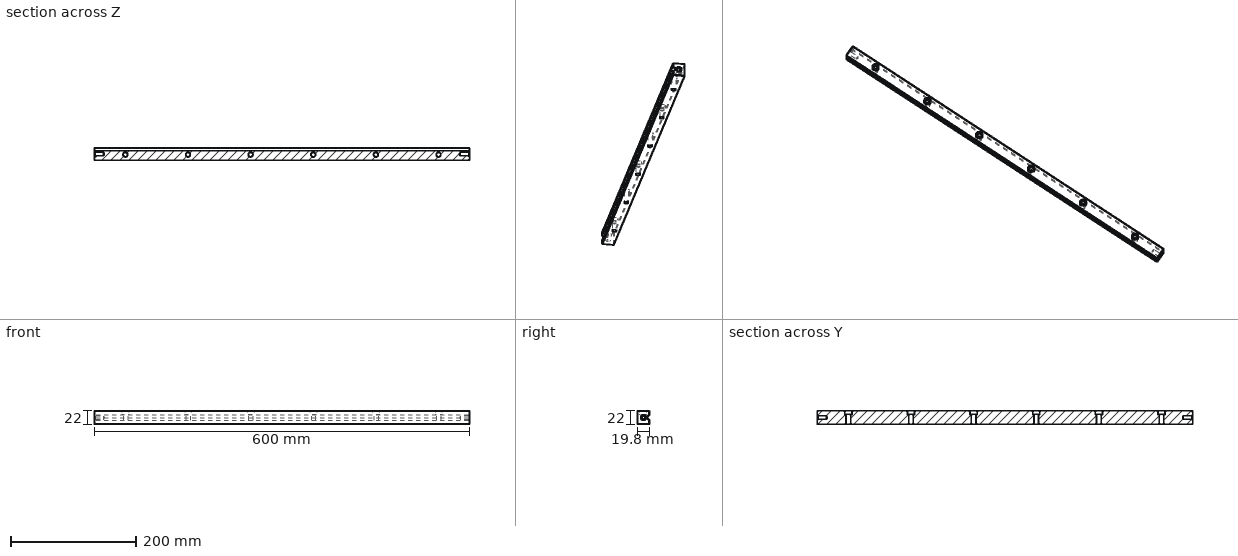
import cadquery as cq

LENGTH = 600.0
WIDTH = 19.8
HEIGHT = 22.0
EDGE_CHAMFER = 1.1

GROOVE_DEPTH = 4.2
GROOVE_HALF_OPENING = GROOVE_DEPTH

BACK_TO_HOLES = 9.0
HOLE_COUNT = 6
HOLE_PITCH = LENGTH / HOLE_COUNT
HOLE_Y = BACK_TO_HOLES - WIDTH / 2
HOLE_DIAMETER = 6.99
COUNTERBORE_DIAMETER = 11.0
COUNTERBORE_DEPTH = 6.0

END_HOLE_DIAMETER = 5.19
END_HOLE_DEPTH = 15.0
END_SINK_DIAMETER = 9.0
DRILL_POINT_HEIGHT = 1.5


def make_body():
    """Grooved bar with its long edges and the full outline of both ends chamfered."""
    bar = cq.Workplane("XY").box(LENGTH, WIDTH, HEIGHT).edges("|X").chamfer(EDGE_CHAMFER)
    return bar.cut(make_groove()).faces("<X or >X").edges().chamfer(EDGE_CHAMFER)


def make_groove():
    """Triangular prism that cuts the V groove along the +Y face."""
    face_y = WIDTH / 2
    profile = [
        (face_y, GROOVE_HALF_OPENING),
        (face_y - GROOVE_DEPTH, 0),
        (face_y, -GROOVE_HALF_OPENING),
    ]
    return cq.Workplane("YZ").polyline(profile).close().extrude(LENGTH / 2, both=True)


def cut_mounting_holes(body):
    """Row of counterbored through holes opening on the top face."""
    return (
        body.faces(">Z")
        .workplane(origin=(0, HOLE_Y, HEIGHT / 2))
        .rarray(HOLE_PITCH, 1, HOLE_COUNT, 1)
        .cboreHole(HOLE_DIAMETER, COUNTERBORE_DIAMETER, COUNTERBORE_DEPTH)
    )


def make_end_hole():
    """Revolved cutter for the hole in the -X end face: countersink, bore, drill point."""
    mouth_x = -LENGTH / 2
    bore_radius = END_HOLE_DIAMETER / 2
    sink_radius = END_SINK_DIAMETER / 2
    sink_depth = sink_radius - bore_radius
    bore_end_x = mouth_x + END_HOLE_DEPTH
    profile = [
        (mouth_x, 0),
        (mouth_x, sink_radius),
        (mouth_x + sink_depth, bore_radius),
        (bore_end_x, bore_radius),
        (bore_end_x + DRILL_POINT_HEIGHT, 0),
    ]
    return cq.Workplane("XY").polyline(profile).close().revolve(360, (0, 0, 0), (1, 0, 0))


rail = cut_mounting_holes(make_body())
end_hole = make_end_hole()
result = rail.cut(end_hole).cut(end_hole.mirror("YZ"))